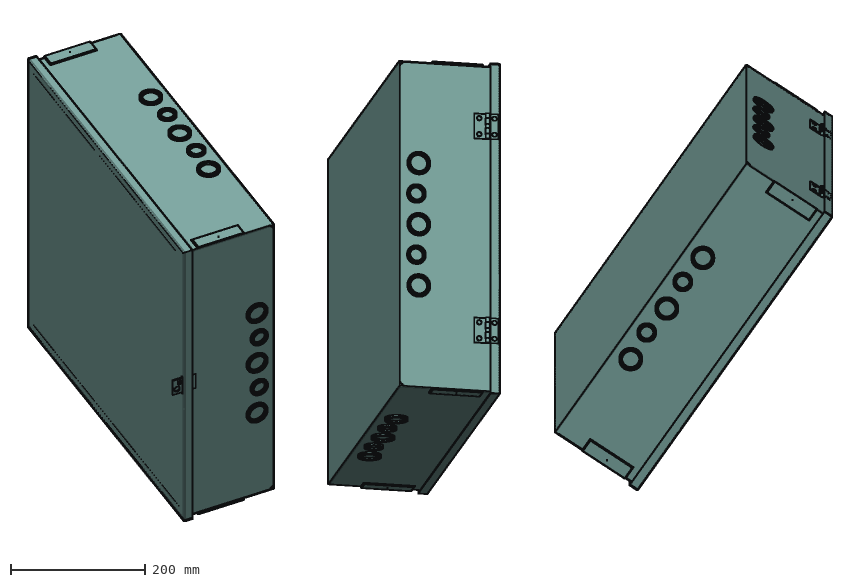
import cadquery as cq
overall_width = 518.5
overall_depth = 169.0
sheet = 1.5

door_width = 516.5
door_height = 515.5
door_depth = 15.0
door_bend_radius = 2.5
hasp_projection = 15.0
door_right = overall_width / 2
door_left = door_right - door_width
door_front = -overall_depth / 2 + hasp_projection
door_skin_back = door_front + sheet
center_x = door_right - door_width / 2

box_width = 508.5
box_height = box_width
box_back = overall_depth / 2
box_left = center_x - box_width / 2
box_right = center_x + box_width / 2
box_bend_radius = 2.0
return_flange = 13.5
corner_relief = 5.5

large_rings = [(35.0, 31.5), (28.5, 25.5)]
small_rings = [(28.5, 25.5), (22.5, 19.0)]
ring_height = 3.0
knockout_pitch = 47.5
large_knockout_y = 54.5
small_knockout_y = 58.0

lap_width = 22.0
lap_back = 34.0
lap_front = -44.0
lap_height = 2.0
lap_bevel = 1.5
lap_hole_diameter = 0.8
lap_hole_inset = 9.0

hinge_z = 159.0
hinge_height = 39.0
knuckle_diameter = 6.0
pin_diameter = 3.3
pin_hole_diameter = 3.7
end_knuckle = 7.5
middle_knuckle = 6.0
leaf_front = -66.5
leaf_back = -30.0
knuckle_x = -overall_width / 2 + knuckle_diameter / 2
knuckle_y = -50.5
screw_hole_diameter = 7.0
screw_spacing_z = 25.0
box_screw_y = -38.0
door_screw_y = -60.5

hasp_thickness = 2.0
hasp_height = 27.0
hasp_back = -46.5
hasp_hole_diameter = 9.5
hasp_hole_y = -77.5
hasp_hole_z = -4.5
slot_height = 31.0
tab_z = 6.0
tab_height = 6.0
window_depth = 4.0
tab_reach = 2.0
tab_thickness = 1.5
tab_gap = 0.5
hasp_right = box_right - sheet
hasp_left = hasp_right - hasp_thickness


def block(x0, x1, y0, y1, z0, z1):
    """Axis-aligned block between the given coordinates."""
    return cq.Workplane("XY").box(x1 - x0, y1 - y0, z1 - z0, centered=False).translate((x0, y0, z0))


def tall_block(x0, x1, y0, y1, height, z=0):
    """Block of the given height centred on z."""
    return block(x0, x1, y0, y1, z - height / 2, z + height / 2)


def at_four_corners(part):
    """The part and its mirror images to the right, below, and both."""
    right = part.mirror("YZ", (center_x, 0, 0))
    return [part, right, part.mirror("XY"), right.mirror("XY")]


def corner_lap():
    """Raised lap on the top panel's left end, with bevelled edges."""
    inner = box_left + lap_width
    base = box_height / 2
    lap = block(box_left, inner, lap_front, lap_back, base, base + lap_height)
    return lap.faces(">Z").edges(">X or <Y or >Y").chamfer(lap_bevel)


def wall_knockouts():
    """Row of five knockouts on the top panel of a box centred on X = 0."""
    row = cq.Workplane("XY")
    for step in range(-2, 3):
        large = step % 2 == 0
        y = large_knockout_y if large else small_knockout_y
        plane = cq.Workplane("XY", origin=(step * knockout_pitch, y, box_height / 2))
        for outer, inner in large_rings if large else small_rings:
            row = row.add(plane.circle(outer / 2).circle(inner / 2).extrude(ring_height))
    return row


def make_box():
    """Open-fronted box with return flanges, corner laps and knockouts."""
    body = tall_block(box_left, box_right, door_skin_back, box_back, box_height)
    body = body.edges("not <Y").fillet(box_bend_radius)
    cavity = tall_block(
        box_left + sheet, box_right - sheet, door_skin_back + sheet, box_back - sheet,
        box_height - 2 * sheet)
    opening = tall_block(
        box_left + return_flange, box_right - return_flange, door_skin_back, box_back - sheet,
        box_height - 2 * return_flange)
    body = body.cut(cavity).cut(opening)

    inner_y = box_back - sheet
    inner_z = box_height / 2 - sheet
    for side in (1, -1):
        relief = (
            cq.Workplane("YZ", origin=(box_left, 0, 0))
            .polyline([
                (inner_y, side * inner_z),
                (inner_y - corner_relief, side * inner_z),
                (inner_y, side * (inner_z - corner_relief))])
            .close().extrude(box_width))
        body = body.cut(relief)

    body = body.cut(tall_block(hasp_left, hasp_right, door_skin_back, door_skin_back + sheet, hasp_height))

    for lap in at_four_corners(corner_lap()):
        body = body.union(lap)
    hole_y = (lap_front + lap_back) / 2
    for hole_x in (box_left + lap_hole_inset, box_right - lap_hole_inset):
        hole = (
            cq.Workplane("XY", origin=(hole_x, hole_y, -box_height))
            .circle(lap_hole_diameter / 2).extrude(2 * box_height))
        body = body.cut(hole)

    row = wall_knockouts()
    for turn in range(4):
        for ring in row.vals():
            turned = ring.rotate(cq.Vector(0, 0, 0), cq.Vector(0, 1, 0), 90 * turn)
            body = body.union(cq.Workplane(turned.translate(cq.Vector(center_x, 0, 0))))
    return body


def make_door():
    """Shallow pan over the front of the box, slotted for the hasp."""
    door = tall_block(door_left, door_right, door_front, door_front + door_depth, door_height)
    door = door.faces("<Y").edges().fillet(door_bend_radius)
    pan = tall_block(
        door_left + sheet, door_right - sheet, door_skin_back, door_front + door_depth,
        door_height - 2 * sheet)
    pan = pan.faces("<Y").edges().fillet(door_bend_radius - sheet)
    door = door.cut(pan)
    slot = tall_block(hasp_left, box_right, door_front, door_skin_back, slot_height)
    return door.cut(slot)


half = hinge_height / 2
box_knuckles = [
    (-half, -half + end_knuckle),
    (-middle_knuckle / 2, middle_knuckle / 2),
    (half - end_knuckle, half)]
door_knuckles = [
    (-half + end_knuckle, -middle_knuckle / 2),
    (middle_knuckle / 2, half - end_knuckle)]


def cylinder_z(diameter, z0, z1):
    """Cylinder on the hinge axis between two heights."""
    return (
        cq.Workplane("XY", origin=(knuckle_x, knuckle_y, z0))
        .circle(diameter / 2).extrude(z1 - z0))


def drill_screws(leaf, outer_x, y):
    """Two screw holes through the leaf, one above the other."""
    for z in (-screw_spacing_z / 2, screw_spacing_z / 2):
        hole = (
            cq.Workplane("YZ", origin=(outer_x, y, z))
            .circle(screw_hole_diameter / 2).extrude(sheet))
        leaf = leaf.cut(hole)
    return leaf


def make_box_leaf():
    """Hinge leaf on the box wall, with three knuckles and the pin."""
    outer_x = box_left - sheet
    leaf = tall_block(outer_x, box_left, knuckle_y, leaf_back, hinge_height)
    for z0, z1 in door_knuckles:
        leaf = leaf.cut(block(outer_x, box_left, knuckle_y, knuckle_y + knuckle_diameter / 2, z0, z1))
    for z0, z1 in box_knuckles:
        leaf = leaf.union(cylinder_z(knuckle_diameter, z0, z1))
    leaf = leaf.union(cylinder_z(pin_diameter, -half, half))
    return drill_screws(leaf, outer_x, box_screw_y)


def make_door_leaf():
    """Hinge leaf inside the door's left wall, with two bored knuckles."""
    outer_x = door_left + sheet
    leaf = tall_block(outer_x, outer_x + sheet, leaf_front, knuckle_y, hinge_height)
    for z0, z1 in box_knuckles:
        leaf = leaf.cut(
            block(outer_x, outer_x + sheet, knuckle_y - knuckle_diameter / 2, knuckle_y, z0, z1))
    for z0, z1 in door_knuckles:
        leaf = leaf.union(cylinder_z(knuckle_diameter, z0, z1))
    leaf = leaf.cut(cylinder_z(pin_hole_diameter, -half, half))
    return drill_screws(leaf, outer_x, door_screw_y)


def make_hasp():
    """Flat hasp through the door slot, with a padlock hole and a bent tab."""
    hasp = tall_block(hasp_left, hasp_right, -overall_depth / 2, hasp_back, hasp_height)
    hole = (
        cq.Workplane("YZ", origin=(hasp_left, hasp_hole_y, hasp_hole_z))
        .circle(hasp_hole_diameter / 2).extrude(hasp_thickness))
    hasp = hasp.cut(hole)
    tab_back = door_front - tab_gap
    tab_front = tab_back - tab_thickness
    window = tall_block(hasp_left, hasp_right, tab_front - window_depth, tab_front, tab_height, tab_z)
    tab = tall_block(hasp_left - tab_reach, hasp_left, tab_front, tab_back, tab_height, tab_z)
    return hasp.cut(window).union(tab)


box = make_box()
door = make_door()
hasp = make_hasp()
hinge_leaves = []
for z in (-hinge_z, hinge_z):
    for leaf in (make_box_leaf(), make_door_leaf()):
        hinge_leaves.append(leaf.translate((0, 0, z)).val())

result = cq.Compound.makeCompound([box.val(), door.val(), hasp.val(), *hinge_leaves])